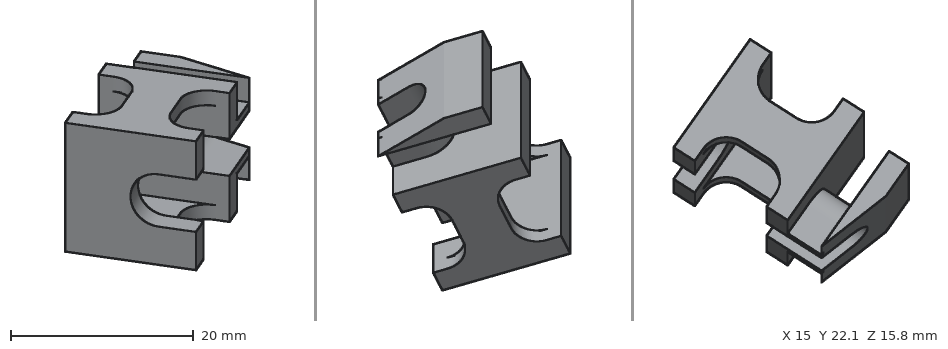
import cadquery as cq

width = 15.0
height = 15.8
length = 22.1
wall = 2.78
body_depth = 15.03
web_thickness = 1.81
web_waist = 5.61
waist_radius = 3.0

front_slot_radius = 3.2
front_slot_center = 10.7
rear_slot_radius = 2.25
rear_slot_center = 11.0

neck_radius = 3.27
hook_thickness = 2.6
hook_height = 12.53
hook_left = 1.77
hook_taper_start = 6.28

mid_height = height / 2
window_depth = body_depth - 2 * wall
recess_depth = (width - web_waist) / 2
hook_front = length - hook_thickness


def box(x, y, z, size_x, size_y, size_z):
    """Box with its lowest corner at (x, y, z)."""
    return cq.Workplane("XY").box(size_x, size_y, size_z, centered=False).translate((x, y, z))


def u_prism(center_x, radius, y_start, y_end):
    """Prism along Y with a round -X end, running straight to the +X side."""
    return (
        cq.Workplane("XZ", origin=(0, y_start, mid_height))
        .moveTo(width, -radius)
        .lineTo(center_x, -radius)
        .threePointArc((center_x - radius, 0), (center_x, radius))
        .lineTo(width, radius)
        .close()
        .extrude(y_start - y_end)
    )


def side_recess(outer_x):
    """Full-height recess beside the web, its two inner corners rounded."""
    inner_edges = "<X" if outer_x == width else ">X"
    start_x = width - recess_depth if outer_x == width else 0
    return (
        box(start_x, wall, 0, recess_depth, window_depth, height)
        .faces(inner_edges)
        .edges("|Z")
        .fillet(waist_radius)
    )


body = box(0, 0, 0, width, body_depth, height)
body = body.cut(box(0, wall, web_thickness, width, window_depth, height - 2 * web_thickness))
for side_x in (0, width):
    body = body.cut(side_recess(side_x))

hook = (
    cq.Workplane("XY", origin=(0, 0, mid_height - hook_height / 2))
    .polyline([
        (hook_left, hook_front),
        (width, hook_front),
        (hook_taper_start, length),
        (hook_left, length),
    ])
    .close()
    .extrude(hook_height)
)
neck = u_prism(rear_slot_center, neck_radius, body_depth, hook_front)

front_slot = u_prism(front_slot_center, front_slot_radius, 0, wall)
rear_slot = u_prism(rear_slot_center, rear_slot_radius, body_depth - wall, length)

result = body.union(neck).union(hook).cut(front_slot).cut(rear_slot)